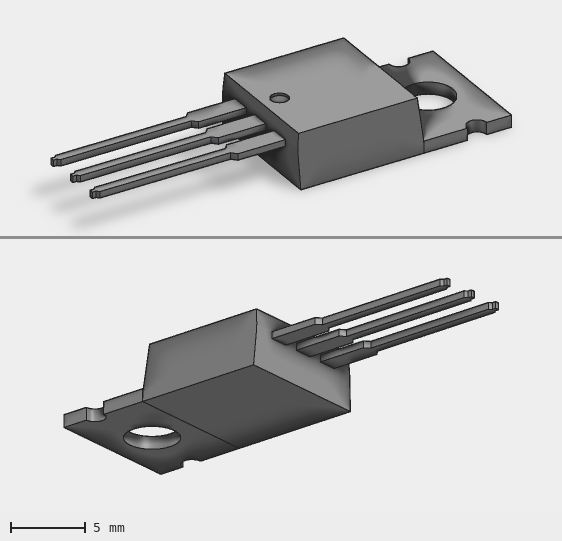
import cadquery as cq


overall_length = 31.25

body_width = 10.15
body_height = 4.2
side_inset = 0.3
front_inset = 0.1
back_y = 9.72
back_top_y = 9.37
dot_diameter = 1.3
dot_depth = 0.2
dot_y = 1.5

tab_thickness = 0.95
tab_end_y = 16.53
hole_diameter = 3.8
hole_y = tab_end_y - 3.45
notch_radius = 0.75
notch_y = tab_end_y - 2.7

lead_count = 3
lead_pitch = 2.53
lead_bottom_z = 2.5
lead_thickness = 0.5
lead_top_z = lead_bottom_z + lead_thickness
lead_length = overall_length - tab_end_y
wide_width = 1.45
narrow_width = 0.7
tip_width = 0.3
wide_length = 3.72
shoulder_length = 0.35
tip_length = 0.28
tip_taper_length = 0.2


def make_housing():
    """Tapered block: side profile intersected with front profile, plus the marker dot."""
    side_profile = [
        (front_inset, 0),
        (0, lead_bottom_z),
        (0, lead_top_z),
        (front_inset, body_height),
        (back_top_y, body_height),
        (back_y, tab_thickness),
        (back_y, 0),
    ]
    half_width = body_width / 2
    top_half_width = half_width - side_inset
    front_profile = [
        (-half_width, 0),
        (half_width, 0),
        (top_half_width, body_height),
        (-top_half_width, body_height),
    ]
    block = cq.Workplane("YZ").polyline(side_profile).close().extrude(half_width, both=True)
    taper = cq.Workplane("XZ").polyline(front_profile).close().extrude(-back_y)
    dot = (
        cq.Workplane("XY", origin=(0, dot_y, body_height - dot_depth))
        .circle(dot_diameter / 2)
        .extrude(dot_depth)
    )
    return block.intersect(taper).cut(dot)


def make_tab():
    """Plate that butts against the back of the housing, with a hole and two side notches."""
    plate = (
        cq.Workplane("XY")
        .center(0, (back_y + tab_end_y) / 2)
        .rect(body_width, tab_end_y - back_y)
        .extrude(tab_thickness)
    )
    hole = cq.Workplane("XY").center(0, hole_y).circle(hole_diameter / 2).extrude(tab_thickness)
    notches = (
        cq.Workplane("XY")
        .pushPoints([(-body_width / 2, notch_y), (body_width / 2, notch_y)])
        .circle(notch_radius)
        .extrude(tab_thickness)
    )
    return plate.cut(hole).cut(notches)


def make_lead(center_x):
    """Flat lead that narrows at a shoulder and again at its tip."""
    shoulder_end_y = -(wide_length + shoulder_length)
    tip_y = -lead_length + tip_length
    right_edge = [
        (wide_width / 2, 0),
        (wide_width / 2, -wide_length),
        (narrow_width / 2, shoulder_end_y),
        (narrow_width / 2, tip_y + tip_taper_length),
        (tip_width / 2, tip_y),
        (tip_width / 2, -lead_length),
    ]
    left_edge = [(-x, y) for x, y in reversed(right_edge)]
    return (
        cq.Workplane("XY", origin=(center_x, 0, lead_bottom_z))
        .polyline(right_edge + left_edge)
        .close()
        .extrude(lead_thickness)
    )


housing = make_housing()
tab = make_tab()
leads = [make_lead((i - (lead_count - 1) / 2) * lead_pitch) for i in range(lead_count)]

result = cq.Compound.makeCompound([housing.val(), tab.val(), *[lead.val() for lead in leads]])